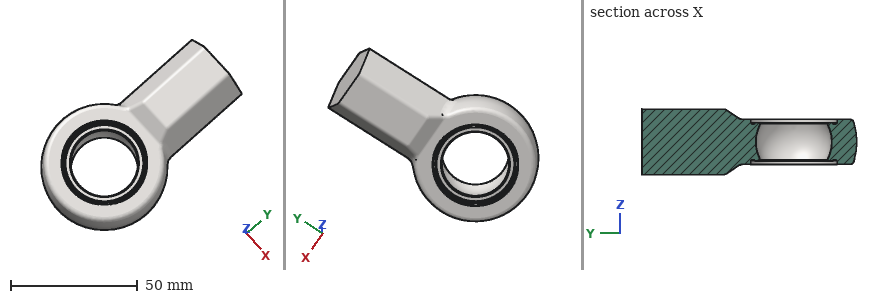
import cadquery as cq
import math

head_radius = 25.0
head_half_width = 9.0

across_flats = 26.0
shank_half_height = across_flats / 2
across_corners = across_flats / math.cos(math.radians(30))
shank_start = 10.0
shank_end = 60.0

bevel_foot_y = 21.15
bevel_ridge_y = 27.05

side_corner_radius = 2.0
neck_radius = 4.0
bevel_foot_radius = 2.0
bevel_ridge_radius = 2.0
rim_radius = 2.0

mouth_radius = 34.01 / 2
mouth_wall_depth = 1.5
groove_outer_radius = 16.45

race_outer_radius = 15.8
race_half_width = head_half_width - 1.4
race_chamfer = 0.5
seat_radius = 15.0
seat_edge_chamfer = 0.5

tolerance = 1e-3


def lies_on_head_sphere(edge):
    """True when every sampled point of the edge is on the head sphere."""
    samples = (edge.positionAt(fraction) for fraction in (0.0, 0.3, 0.5))
    return all(abs(point.Length - head_radius) < tolerance for point in samples)


def make_sphere_and_bar():
    """Sphere joined to the hexagonal bar, with a rounded neck where they meet."""
    bar = (
        cq.Workplane("XZ", origin=(0, shank_start, 0))
        .polygon(6, across_corners)
        .extrude(shank_start - shank_end)
        .edges("|Y")
        .edges("<X or >X")
        .fillet(side_corner_radius)
    )
    blank = cq.Workplane("XY").sphere(head_radius).union(bar)
    neck_edges = [
        edge
        for edge in blank.edges().vals()
        if lies_on_head_sphere(edge) and edge.BoundingBox().ymin > shank_start
    ]
    return blank.newObject(neck_edges).fillet(neck_radius)


def make_side_envelope():
    """Side outline of the whole part, with the bevel corners rounded, as a wide prism."""
    half_outline = [
        (-across_corners, head_half_width),
        (bevel_foot_y, head_half_width),
        (bevel_ridge_y, shank_half_height),
        (shank_end, shank_half_height),
    ]
    mirrored = [(y, -z) for y, z in reversed(half_outline)]
    prism = (
        cq.Workplane("YZ")
        .polyline(half_outline + mirrored)
        .close()
        .extrude(across_corners, both=True)
    )
    for corner_y, radius in (
        (bevel_foot_y, bevel_foot_radius),
        (bevel_ridge_y, bevel_ridge_radius),
    ):
        corners = [e for e in prism.edges("|X").vals() if abs(e.Center().y - corner_y) < tolerance]
        prism = prism.newObject(corners).fillet(radius)
    return prism


def round_face_outlines(body):
    """Round the edges around the top and bottom faces, from the head rim along the shank."""

    def is_outline(edge):
        box = edge.BoundingBox()
        is_at_face = max(box.zmin, -box.zmax) > head_half_width - tolerance
        runs_along_part = box.ymax - box.ymin > tolerance
        return is_at_face and runs_along_part

    outline = [edge for edge in body.edges().vals() if is_outline(edge)]
    return body.newObject(outline).fillet(rim_radius)


def make_bore():
    """Revolved cutter for the bore mouths, the race chamfers and the spherical seat."""
    seat_z = race_half_width - seat_edge_chamfer
    seat_edge_radius = math.sqrt(seat_radius**2 - seat_z**2)
    groove_z = race_half_width - race_chamfer
    upper_profile = [
        (seat_edge_radius, seat_z),
        (seat_edge_radius + seat_edge_chamfer, race_half_width),
        (race_outer_radius - race_chamfer, race_half_width),
        (race_outer_radius, groove_z),
        (groove_outer_radius, groove_z),
        (mouth_radius, head_half_width - mouth_wall_depth),
        (mouth_radius, head_half_width),
        (0, head_half_width),
    ]
    lower_profile = [(r, -z) for r, z in reversed(upper_profile)]
    return (
        cq.Workplane("XZ")
        .polyline(upper_profile + lower_profile)
        .threePointArc((seat_radius, 0), (seat_edge_radius, seat_z))
        .close()
        .revolve(360, (0, 0, 0), (0, 1, 0))
    )


body = make_sphere_and_bar().intersect(make_side_envelope())
result = round_face_outlines(body).cut(make_bore())